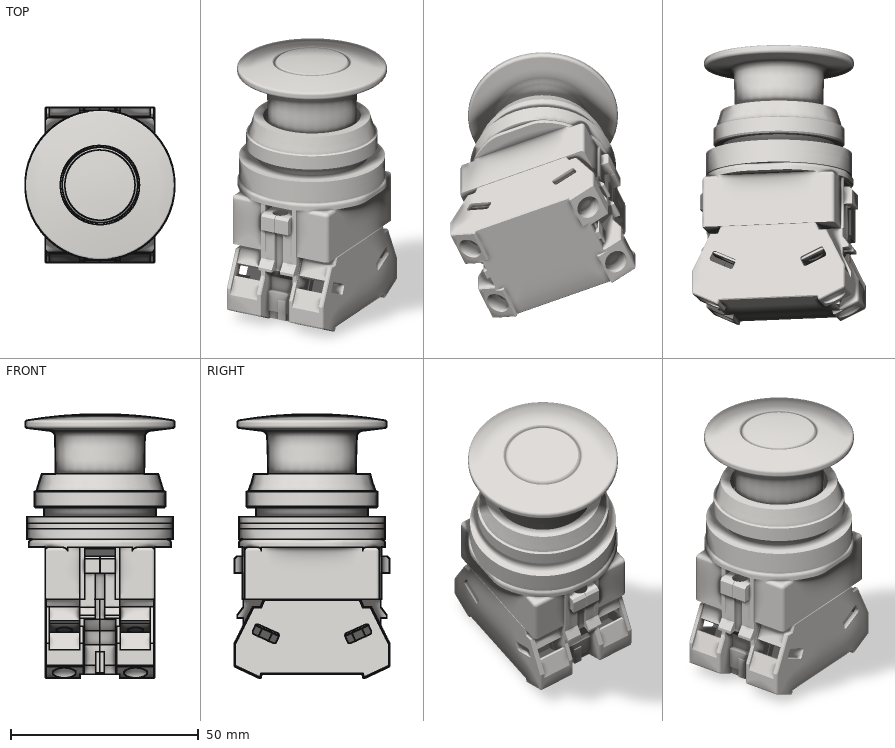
import cadquery as cq
import math

BLOCK_TOP = 21.05
HOUSING_TOP = 34.9
FLANGE_TOP = 37.05
OPERATOR_FLANGE_TOP = 39.85
GASKET_TOP = 41.3
WASHER_TOP = 43.0
NUT_BOTTOM = 45.4
NUT_TOP = 54.4
BUTTON_TOP = 70.4

HEAD_R = 20.0
HEAD_EDGE = 0.8
RIM_TOP = 68.8
RIM_BOTTOM = 66.6
STEM_TOP_R = 12.05
STEM_TOP = 64.6
STEM_R = 11.75
STEM_BOTTOM = 41.3
NECK_FILLET_R = 13.5
NECK_FILLET_Z = 65.9
GROOVE_INNER_R = 9.35
GROOVE_OUTER_R = 10.55
GROOVE_BOTTOM_R = 10.1
GROOVE_BOTTOM = 69.4

COLLAR_R = 19.5
NECK_R = 15.0
NECK_TOP = 49.3
NUT_R = 17.5
NUT_TOP_R = 15.55
NUT_BORE_R = 13.0
NUT_CONE_BOTTOM_R = 17.0
NUT_CONE_BOTTOM = 49.9
NUT_SHOULDER = 49.65
NUT_CHAMFER = 0.4

HALF_WIDTH = 14.65
HOUSING_HALF_DEPTH = 17.95
HOUSING_ROUND = 1.0
FLANGE_R = 19.9
FLANGE_FLAT_X = 19.0
FLANGE_FLAT_Y = 19.5
FLANGE_FLAT_BLEND = 9.5
FLANGE_ROUND = 1.1
FRAME_HALF_WIDTH = 5.35
FRAME_Y = 18.6
TONGUE_HALF_WIDTH = 4.1
FRAME_OPENING_TOP = 34.4
POCKET_BACK_Y = 14.1
TONGUE_BACK_Y = 17.45

END_Y = 20.7
SHOULDER_TOP_Y = 12.9
SHOULDER_BOTTOM_Y = 13.7
SLOPE_TOP_Y = 15.8
SLOPE_TOP_Z = 19.1
SLOPE_BOTTOM_Z = 9.2
END_BOTTOM_Z = 3.4
END_BREAK = 0.15
INCLINE_TOP_Z = 3.0
FOOT_Y = 14.1
FOOT_INNER_Y = 13.4
FOOT_FLAT = 0.3
FLOOR_Z = 1.0
FOOT_INNER_X = 5.3
PLATE_INNER_X = 4.2
PLATE_CHAMFER = 0.3

TONGUE_Y = 18.4
BARB_Y = 20.0
BARB_TOP = 18.9
BARB_EDGE_TOP = 16.75
BARB_BOTTOM = 16.0
SLOT_HALF_WIDTH = 1.3

LUG_BOTTOM = 27.95
LUG_TOP = 32.5
LUG_CHAMFER = 0.7
LUG_SCOOP_R = 2.1
LUG_SEAM = 0.1

MIDDLE_WALL_Y = 14.8
UNDERCUT_TOP = 15.7
UNDERCUT_BOTTOM = 12.7
STEP_Y = 16.3
STEP_TOP = 8.9
STEP_SETBACK = 0.7
RIB_HALF_WIDTH = 1.1
RIB_BOTTOM = 1.4
RIB_TOP = 7.0
RIB_HEIGHT = 0.35

TERMINAL_INNER_X = 5.4
TERMINAL_OUTER_X = 13.45
RECESS_DEPTH = 0.8
RECESS_BOTTOM_Z = 7.5
MOUTH_TOP_Z = 15.35
LIP_Z = 12.25
TERMINAL_X = 9.5
TERMINAL_Y = 12.3
TERMINAL_Z = 11.8
TERMINAL_TILT = 24.5
WINDOW_LENGTH = 6.9
WINDOW_HEIGHT = 2.9
WINDOW_ROUND = 0.6
CAVITY_CEILING = 0.9
CAVITY_FLOOR = -5.3
CEILING_END = 4.6
PIT_END = 4.7
GUIDE_WIDTH = 2.95
GUIDE_DEPTH = 0.3
SCREW_R = 2.1
SCREW_RECESS = 0.35
DRIVER_R = 3.1
DRIVER_HOLE_END = -6.7


def disc(radius, bottom, top):
    return cq.Workplane("XY").workplane(offset=bottom).circle(radius).extrude(top - bottom)


def ring(radius, bore, bottom, top):
    return disc(radius, bottom, top).cut(disc(bore, bottom, top))


def box(x, y, z):
    """Box given by its (low, high) limits along each axis."""
    corner = cq.Vector(x[0], y[0], z[0])
    return cq.Workplane(cq.Solid.makeBox(x[1] - x[0], y[1] - y[0], z[1] - z[0], corner))


def prism(points, x):
    """Y-Z outline extruded between two X positions."""
    return cq.Workplane("YZ").workplane(offset=x[0]).polyline(points).close().extrude(x[1] - x[0])


def both_ends(shape):
    """The shape together with its mirror image in Y."""
    return shape.union(shape.mirror("XZ"))


def make_button():
    rim_r = HEAD_R - HEAD_EDGE
    dome_radius = (rim_r**2 + (BUTTON_TOP - RIM_TOP) ** 2) / (2 * (BUTTON_TOP - RIM_TOP))

    def on_dome(radius):
        return (radius, BUTTON_TOP - dome_radius + math.sqrt(dome_radius**2 - radius**2))

    return (
        cq.Workplane("XZ")
        .moveTo(0, BUTTON_TOP)
        .threePointArc(on_dome(GROOVE_INNER_R / 2), on_dome(GROOVE_INNER_R))
        .lineTo(GROOVE_BOTTOM_R, GROOVE_BOTTOM)
        .lineTo(*on_dome(GROOVE_OUTER_R))
        .threePointArc(on_dome((GROOVE_OUTER_R + rim_r) / 2), (rim_r, RIM_TOP))
        .radiusArc((HEAD_R, RIM_TOP - HEAD_EDGE), HEAD_EDGE)
        .lineTo(HEAD_R, RIM_BOTTOM + HEAD_EDGE)
        .radiusArc((rim_r, RIM_BOTTOM), HEAD_EDGE)
        .lineTo(NECK_FILLET_R, NECK_FILLET_Z)
        .radiusArc((STEM_TOP_R, STEM_TOP), -(NECK_FILLET_R - STEM_TOP_R))
        .lineTo(STEM_R, NECK_TOP)
        .lineTo(STEM_R, STEM_BOTTOM)
        .lineTo(0, STEM_BOTTOM)
        .close()
        .revolve(360, (0, 0, 0), (0, 1, 0))
    )


def make_locking_nut():
    outline = [
        (NUT_BORE_R, NUT_TOP),
        (NUT_TOP_R, NUT_TOP),
        (NUT_CONE_BOTTOM_R, NUT_CONE_BOTTOM),
        (NUT_R, NUT_SHOULDER),
        (NUT_R, NUT_BOTTOM + NUT_CHAMFER),
        (NUT_R - NUT_CHAMFER, NUT_BOTTOM),
        (NECK_R, NUT_BOTTOM),
        (NECK_R, NECK_TOP),
        (NUT_BORE_R, NECK_TOP),
    ]
    return cq.Workplane("XZ").polyline(outline).close().revolve(360, (0, 0, 0), (0, 1, 0))


def make_operator():
    flange = disc(COLLAR_R, FLANGE_TOP, OPERATOR_FLANGE_TOP)
    neck = disc(NECK_R, OPERATOR_FLANGE_TOP, NECK_TOP)
    stem_bore = disc(STEM_R, STEM_BOTTOM, NECK_TOP)
    return flange.union(neck).cut(stem_bore)


def make_gasket():
    return ring(COLLAR_R, NECK_R, OPERATOR_FLANGE_TOP, GASKET_TOP)


def make_washer():
    return ring(COLLAR_R, NECK_R, GASKET_TOP, WASHER_TOP)


def make_lug_scoop():
    """Round well shared by the housing wall and the back of the latch lugs."""
    well = cq.Workplane("XY").workplane(offset=LUG_BOTTOM).center(0, TONGUE_BACK_Y).circle(LUG_SCOOP_R)
    return well.extrude(LUG_TOP - LUG_BOTTOM)


def make_flange():
    round_plate = disc(FLANGE_R, HOUSING_TOP, FLANGE_TOP)
    flats = box(
        (-FLANGE_FLAT_X, FLANGE_FLAT_X),
        (-FLANGE_FLAT_Y, FLANGE_FLAT_Y),
        (HOUSING_TOP, FLANGE_TOP),
    )
    flange = round_plate.intersect(flats).edges("|Z").fillet(FLANGE_FLAT_BLEND)
    return flange.faces(">Z").edges().fillet(FLANGE_ROUND)


def make_housing():
    block = box(
        (-HALF_WIDTH, HALF_WIDTH),
        (-HOUSING_HALF_DEPTH, HOUSING_HALF_DEPTH),
        (BLOCK_TOP, HOUSING_TOP),
    ).edges("|Z").fillet(HOUSING_ROUND)
    under_flange = block.intersect(disc(FLANGE_R, BLOCK_TOP, HOUSING_TOP))
    body = block.faces(">Z").edges().fillet(HOUSING_ROUND).union(under_flange)
    frame = box(
        (-FRAME_HALF_WIDTH, FRAME_HALF_WIDTH),
        (TONGUE_BACK_Y, FRAME_Y),
        (BLOCK_TOP, HOUSING_TOP),
    )
    tongue_space = box(
        (-TONGUE_HALF_WIDTH, TONGUE_HALF_WIDTH),
        (TONGUE_BACK_Y, FRAME_Y),
        (BLOCK_TOP, FRAME_OPENING_TOP),
    )
    pocket = box(
        (-TONGUE_HALF_WIDTH, TONGUE_HALF_WIDTH),
        (POCKET_BACK_Y, FRAME_Y),
        (LUG_TOP, FRAME_OPENING_TOP),
    )
    opening = tongue_space.union(pocket).union(make_lug_scoop())
    return body.union(both_ends(frame)).cut(both_ends(opening)).union(make_flange())


def make_side_plate():
    half_outline = [
        (SHOULDER_TOP_Y, BLOCK_TOP),
        (SHOULDER_BOTTOM_Y, SLOPE_TOP_Z),
        (SLOPE_TOP_Y, SLOPE_TOP_Z),
        (END_Y, SLOPE_BOTTOM_Z),
        (END_Y, END_BOTTOM_Z),
        (END_Y - END_BREAK, INCLINE_TOP_Z),
        (FOOT_Y, 0),
        (FOOT_INNER_Y + FOOT_FLAT, 0),
        (FOOT_INNER_Y, FLOOR_Z),
    ]
    mirrored = [(-y, z) for y, z in reversed(half_outline)]
    plate = prism(half_outline + mirrored, (PLATE_INNER_X, HALF_WIDTH))
    plate = plate.faces("<X or >X").edges().chamfer(PLATE_CHAMFER)
    return plate.cut(box((0, FOOT_INNER_X), (-END_Y, END_Y), (0, FLOOR_Z)))


def make_middle():
    """Set-back web beside the seam, with a step and a small rib at each end."""
    half_outline = [
        (TONGUE_BACK_Y, BLOCK_TOP),
        (TONGUE_BACK_Y, UNDERCUT_TOP),
        (MIDDLE_WALL_Y, UNDERCUT_BOTTOM),
        (MIDDLE_WALL_Y, STEP_TOP),
        (STEP_Y, STEP_TOP),
        (STEP_Y, END_BOTTOM_Z),
        (STEP_Y - STEP_SETBACK, END_BOTTOM_Z),
        (STEP_Y - STEP_SETBACK, FLOOR_Z),
    ]
    mirrored = [(-y, z) for y, z in reversed(half_outline)]
    web = prism(half_outline + mirrored, (0, FRAME_HALF_WIDTH))
    rib = box((0, RIB_HALF_WIDTH), (MIDDLE_WALL_Y, STEP_Y + RIB_HEIGHT), (RIB_BOTTOM, RIB_TOP))
    return web.union(both_ends(rib))


def make_tongue():
    """Latch arm at the +Y end: barb below, thin tongue in the housing frame, scooped lug on top."""
    barb_outline = [
        (SLOPE_TOP_Y, BLOCK_TOP),
        (TONGUE_Y, BLOCK_TOP),
        (TONGUE_Y, BARB_TOP),
        (BARB_Y, BARB_EDGE_TOP),
        (BARB_Y, BARB_BOTTOM),
        (SLOPE_TOP_Y, BARB_BOTTOM),
    ]
    barb = prism(barb_outline, (SLOT_HALF_WIDTH, FRAME_HALF_WIDTH))
    cheek = box((PLATE_INNER_X, FRAME_HALF_WIDTH), (MIDDLE_WALL_Y, TONGUE_Y), (STEP_TOP, BARB_BOTTOM))
    tongue = box((SLOT_HALF_WIDTH, TONGUE_HALF_WIDTH), (TONGUE_BACK_Y, TONGUE_Y), (BLOCK_TOP, LUG_BOTTOM))
    lug_outline = [
        (TONGUE_BACK_Y, LUG_BOTTOM),
        (END_Y, LUG_BOTTOM),
        (END_Y, LUG_TOP - LUG_CHAMFER),
        (END_Y - LUG_CHAMFER, LUG_TOP),
        (TONGUE_BACK_Y, LUG_TOP),
    ]
    lug = prism(lug_outline, (LUG_SEAM, TONGUE_HALF_WIDTH)).cut(make_lug_scoop())
    return barb.union(cheek).union(tongue).union(lug)


def make_terminal_cut():
    """Sloped recess, wire cavity, side window and screw holes at the +Y end."""
    width = TERMINAL_OUTER_X - TERMINAL_INNER_X
    slope_run = (END_Y - SLOPE_TOP_Y) / (SLOPE_TOP_Z - SLOPE_BOTTOM_Z)
    recess_top_y = SLOPE_TOP_Y - RECESS_DEPTH
    mouth_top_y = recess_top_y + (SLOPE_TOP_Z - MOUTH_TOP_Z) * slope_run

    tilt = math.radians(TERMINAL_TILT)
    outward = cq.Vector(0, math.cos(tilt), math.sin(tilt))
    up = cq.Vector(0, -math.sin(tilt), math.cos(tilt))
    center = cq.Vector(TERMINAL_X, TERMINAL_Y, TERMINAL_Z)
    terminal = cq.Plane(origin=(0, TERMINAL_Y, TERMINAL_Z), xDir=outward, normal=(1, 0, 0))

    def tilted(along, across):
        point = center + outward * along + up * across
        return (point.y, point.z)

    lip_y = END_Y - (LIP_Z - RECESS_BOTTOM_Z) * slope_run
    lip_offset = cq.Vector(TERMINAL_X, lip_y, LIP_Z) - center
    lip_level = lip_offset.dot(up)
    cavity_end = -WINDOW_LENGTH / 2
    recess_and_cavity = [
        (END_Y, SLOPE_TOP_Z),
        (recess_top_y, SLOPE_TOP_Z),
        (mouth_top_y, MOUTH_TOP_Z),
        tilted(CEILING_END, CAVITY_CEILING),
        tilted(cavity_end, CAVITY_CEILING),
        tilted(cavity_end, CAVITY_FLOOR),
        tilted(PIT_END, CAVITY_FLOOR),
        tilted(PIT_END, lip_level),
        (lip_y, LIP_Z),
        (END_Y, RECESS_BOTTOM_Z),
    ]
    cut = prism(recess_and_cavity, (TERMINAL_INNER_X, TERMINAL_OUTER_X))

    window = cq.Workplane(terminal).workplane(offset=TERMINAL_X).rect(WINDOW_LENGTH, WINDOW_HEIGHT)
    window = window.extrude(HALF_WIDTH - TERMINAL_X).edges("|X").fillet(WINDOW_ROUND)
    above_ceiling = (
        cq.Workplane(terminal)
        .workplane(offset=TERMINAL_INNER_X)
        .center(0, CAVITY_CEILING + WINDOW_HEIGHT / 2)
        .rect(2 * WINDOW_LENGTH, WINDOW_HEIGHT)
        .extrude(width)
    )
    window = window.cut(above_ceiling)

    guide = (
        cq.Workplane(terminal)
        .workplane(offset=TERMINAL_INNER_X - GUIDE_DEPTH)
        .center(0, (CAVITY_CEILING + CAVITY_FLOOR) / 2)
        .rect(GUIDE_WIDTH, CAVITY_CEILING - CAVITY_FLOOR)
        .extrude(width / 2)
    )
    screw_hole = cq.Solid.makeCylinder(SCREW_R, CAVITY_CEILING + SCREW_RECESS, center, up)
    driver_hole = cq.Solid.makeCylinder(DRIVER_R, END_Y, center + up * DRIVER_HOLE_END, up * -1)
    return cut.union(window).union(guide).union(cq.Workplane(screw_hole)).union(cq.Workplane(driver_hole))


def make_contact_block(side):
    """Contact block on the +X side (side = 1) or the -X side (side = -1)."""
    body = make_side_plate().union(make_middle()).union(both_ends(make_tongue()))
    body = body.cut(both_ends(make_terminal_cut()))
    return body if side > 0 else body.mirror("YZ")


button = make_button()
locking_nut = make_locking_nut()
operator = make_operator()
gasket = make_gasket()
washer = make_washer()
housing = make_housing()
contact_blocks = [make_contact_block(side) for side in (-1, 1)]

bodies = [button, locking_nut, operator, gasket, washer, housing, *contact_blocks]
result = cq.Compound.makeCompound([solid for body in bodies for solid in body.solids().vals()])